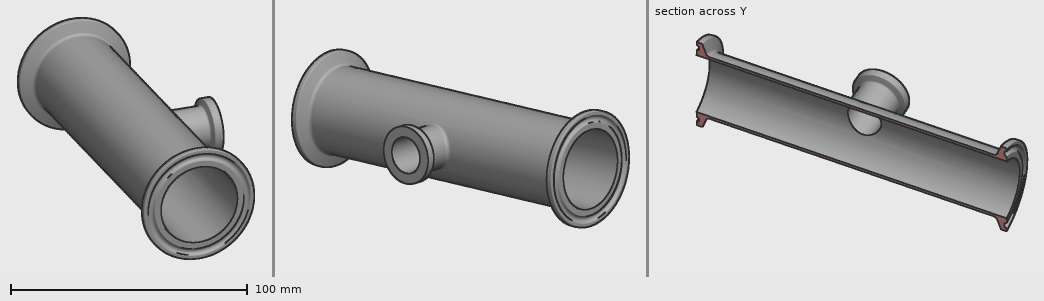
import cadquery as cq
import math

run_length = 146.0
run_outer_d = 38.1
run_bore_d = 34.8
run_flange_d = 50.4
run_rim_width = 2.8
run_neck_fillet = 1.5
run_rim_round = 0.6

groove_mid_d = 43.5
groove_width = 2.9
groove_depth = 1.2
face_edge_round = 0.5

overall_width = 60.2
branch_reach = overall_width - run_flange_d / 2
branch_outer_d = 19.0
branch_bore_d = 15.8
branch_flange_d = 25.0
branch_rim_width = 3.8
branch_neck_fillet = 0.7
branch_rim_round = 0.5

saddle_fillet = 1.5
flange_back_angle = 20
flange_taper = math.tan(math.radians(flange_back_angle))


def ferrule(length, tube_d, flange_d, rim_width, neck_fillet, rim_round):
    """Solid tube with a tapered clamp flange; face on XY, tube running to +Z."""
    tube_r = tube_d / 2
    flange_r = flange_d / 2
    taper_end = rim_width + (flange_r - tube_r) * flange_taper
    profile = (
        cq.Workplane("XZ")
        .lineTo(flange_r, 0)
        .lineTo(flange_r, rim_width)
        .lineTo(tube_r, taper_end)
        .lineTo(tube_r, length)
        .lineTo(0, length)
        .close()
    )
    body = profile.revolve(360, (0, 0, 0), (0, 1, 0))
    neck_edge = cq.selectors.NearestToPointSelector((0, 0, taper_end))
    back_edge = cq.selectors.NearestToPointSelector((0, 0, rim_width))
    body = body.edges("%CIRCLE").edges(neck_edge).fillet(neck_fillet)
    body = body.edges("%CIRCLE").edges(back_edge).fillet(rim_round)
    return body


def gasket_groove():
    """Ring with a circular-arc section, sunk into the XY plane."""
    mid_r = groove_mid_d / 2
    half_width = groove_width / 2
    return (
        cq.Workplane("XZ")
        .moveTo(mid_r - half_width, 0)
        .threePointArc((mid_r, groove_depth), (mid_r + half_width, 0))
        .close()
        .revolve(360, (0, 0, 0), (0, 1, 0))
    )


def run_half():
    """Half of the main run, from the ferrule face at -X to the middle."""
    half_length = run_length / 2
    half = ferrule(half_length, run_outer_d, run_flange_d, run_rim_width, run_neck_fillet, run_rim_round)
    half = half.cut(gasket_groove())
    half = half.faces("<Z").edges().fillet(face_edge_round)
    return half.rotate((0, 0, 0), (0, 1, 0), 90).translate((-half_length, 0, 0))


def branch():
    """Side branch from the run axis to its ferrule face at +Y."""
    stub = ferrule(
        branch_reach, branch_outer_d, branch_flange_d, branch_rim_width, branch_neck_fillet, branch_rim_round
    )
    return stub.rotate((0, 0, 0), (1, 0, 0), 90).translate((0, branch_reach, 0))


def bores():
    """Through bore of the run joined with the branch bore."""
    run_bore = cq.Workplane("YZ").circle(run_bore_d / 2).extrude(run_length / 2, both=True)
    branch_bore = cq.Workplane("XZ").circle(branch_bore_d / 2).extrude(-branch_reach)
    return run_bore.union(branch_bore)


left_half = run_half()
run = left_half.union(left_half.mirror("YZ")).clean()
tee = run.union(branch())

saddle_edge = cq.selectors.NearestToPointSelector((0, run_outer_d / 2, 0))
tee = tee.edges(saddle_edge).fillet(saddle_fillet)

result = tee.cut(bores())